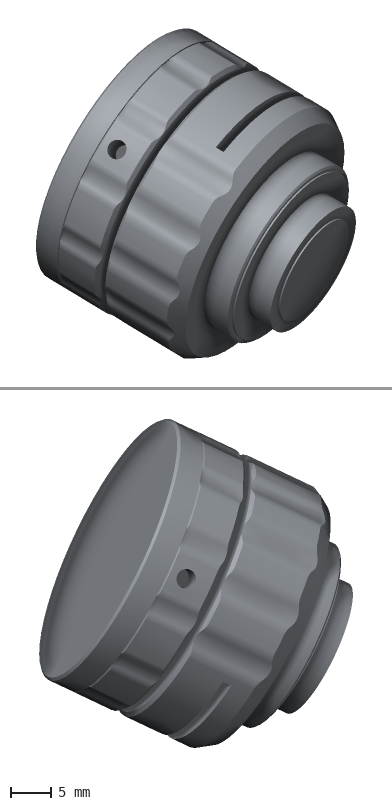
import cadquery as cq
import math

cap_end = 3.53
grip_end = 9.8
ring_start = 10.7
ring_taper_start = 20.52
ring_end = 22.5
flange_end = 26.35
collar_end = 26.55
spigot_end = 30.0
total_length = 30.2

outer_radius = 18.0
neck_radius = 12.95
ring_end_radius = 16.75
flange_radius = 12.7
collar_radius = 12.02
spigot_radius = 9.0
lip_radius = 7.27

cap_chamfer = 0.32
grip_front_chamfer = 0.2
edge_chamfer = 0.45
flange_chamfer = 0.25

grip_scallop_count = 12
grip_pitch = 360 / grip_scallop_count
grip_axis_angle = 1.0
grip_scallop_depth = 0.4
grip_hollow_radius = 3.6
grip_shoulder_radius = 2.15

hole_count = 3
hole_pitch = 360 / hole_count
hole_diameter = 2.5
hole_x = 5.98
hole_depth = 3.6

ring_scallop_count = 7
ring_pitch = 25.0
ring_axis_angle = -4.2
ring_scallop_depth = 0.5
ring_hollow_radius = 4.0
ring_shoulder_radius = 3.0

slot_start = 16.6
slot_end = 17.8
slot_wall_offset = 1.0
slot_step_x = 17.15
slot_floor_radius = 12.15

tool_margin = 1.8


def polar(radius, angle):
    """Point (Y, Z) at an angle from -Y, turning toward +Z."""
    turn = math.radians(angle)
    return -radius * math.cos(turn), radius * math.sin(turn)


def about_x_axis(shape, angle):
    """Turn a shape built on the -Y side toward +Z."""
    return shape.rotate((0, 0, 0), (1, 0, 0), -angle)


def turned_body():
    """Solid of revolution about X: cap, grip band, neck, ring, flange, collar, spigot and lip."""
    return (
        cq.Workplane("XY")
        .lineTo(0, outer_radius - cap_chamfer)
        .lineTo(cap_chamfer, outer_radius)
        .lineTo(cap_end, outer_radius)
        .lineTo(cap_end, outer_radius - grip_front_chamfer)
        .lineTo(cap_end + grip_front_chamfer, outer_radius)
        .lineTo(grip_end - edge_chamfer, outer_radius)
        .lineTo(grip_end, outer_radius - edge_chamfer)
        .lineTo(grip_end, neck_radius)
        .lineTo(ring_start, neck_radius)
        .lineTo(ring_start, outer_radius - edge_chamfer)
        .lineTo(ring_start + edge_chamfer, outer_radius)
        .lineTo(ring_taper_start, outer_radius)
        .lineTo(ring_end, ring_end_radius)
        .lineTo(ring_end, flange_radius)
        .lineTo(flange_end - flange_chamfer, flange_radius)
        .lineTo(flange_end, flange_radius - flange_chamfer)
        .lineTo(flange_end, collar_radius)
        .lineTo(collar_end, collar_radius)
        .lineTo(collar_end, spigot_radius)
        .lineTo(spigot_end, spigot_radius)
        .lineTo(spigot_end, lip_radius)
        .lineTo(total_length, lip_radius)
        .lineTo(total_length, 0)
        .close()
        .revolve(360, (0, 0, 0), (1, 0, 0))
    )


def scallop(x_start, x_end, depth, hollow_radius, shoulder_radius):
    """Cutter on the -Y side: a hollow arc blended into the rim by two rounded shoulders."""
    root_radius = outer_radius - depth
    hollow_center = root_radius + hollow_radius
    shoulder_center = outer_radius - shoulder_radius
    span = hollow_radius + shoulder_radius

    half_angle = math.degrees(math.acos(
        (hollow_center**2 + shoulder_center**2 - span**2) / (2 * hollow_center * shoulder_center)
    ))

    def shoulder_points(side):
        center = polar(shoulder_center, side * half_angle)
        toward_hollow = cq.Vector(-hollow_center - center[0], -center[1]).normalized()
        outward = cq.Vector(*polar(1, side * half_angle))
        middle = (toward_hollow + outward).normalized()
        directions = (outward, middle, toward_hollow)
        return [
            (center[0] + shoulder_radius * way.x, center[1] + shoulder_radius * way.y)
            for way in directions
        ]

    low_rim, low_middle, low_blend = shoulder_points(-1)
    high_rim, high_middle, high_blend = shoulder_points(1)
    return (
        cq.Workplane("YZ", origin=(x_start, 0, 0))
        .moveTo(*low_rim)
        .threePointArc(low_middle, low_blend)
        .threePointArc((-root_radius, 0), high_blend)
        .threePointArc(high_middle, high_rim)
        .lineTo(*polar(outer_radius + tool_margin, half_angle))
        .lineTo(*polar(outer_radius + tool_margin, -half_angle))
        .close()
        .extrude(x_end - x_start)
    )


def radial_hole():
    """Flat-bottomed hole cutter on the -Y side."""
    return (
        cq.Workplane("XZ", origin=(hole_x, hole_depth - outer_radius, 0))
        .circle(hole_diameter / 2)
        .extrude(hole_depth + tool_margin)
    )


def ring_slot():
    """Cutter for the slot: flat end walls and a stepped round floor."""
    reach = outer_radius + tool_margin
    slab = (
        cq.Workplane("XY")
        .box(slot_end - slot_start, reach + slot_wall_offset, 2 * reach, centered=(False, False, True))
        .translate((slot_start, -slot_wall_offset, 0))
    )
    floor = (
        cq.Workplane("YZ", origin=(slot_start, 0, 0))
        .circle(slot_floor_radius)
        .extrude(slot_end - slot_start)
    )
    step = (
        cq.Workplane("YZ", origin=(slot_step_x, 0, 0))
        .circle(flange_radius)
        .extrude(slot_end - slot_step_x)
    )
    return about_x_axis(slab.cut(floor).cut(step), ring_axis_angle)


result = turned_body()

grip_scallop = scallop(
    cap_end, grip_end, grip_scallop_depth, grip_hollow_radius, grip_shoulder_radius
)
for index in range(grip_scallop_count):
    result = result.cut(about_x_axis(grip_scallop, grip_axis_angle + (index + 0.5) * grip_pitch))

for index in range(hole_count):
    result = result.cut(about_x_axis(radial_hole(), grip_axis_angle + (index + 0.5) * hole_pitch))

ring_scallop = scallop(
    ring_start, ring_end, ring_scallop_depth, ring_hollow_radius, ring_shoulder_radius
)
for index in range(ring_scallop_count):
    steps_from_middle = index - (ring_scallop_count - 1) / 2
    result = result.cut(about_x_axis(ring_scallop, ring_axis_angle + steps_from_middle * ring_pitch))

result = result.cut(ring_slot())